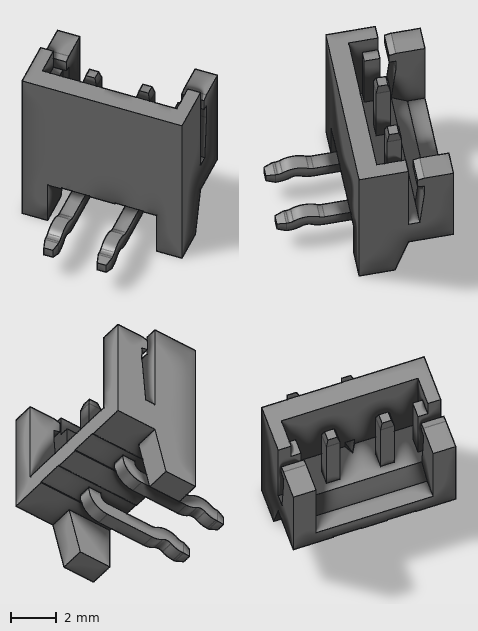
import cadquery as cq
import math


WIDTH = 7.5
DEPTH = 4.2
HEIGHT = 8.2
SHROUD_DEPTH = 2.2
BASE_BOTTOM = 2.2
FLOOR_TOP = 3.7

LEG_WIDTH = 1.2
LEG_FOOT_DEPTH = 1.6

SIDE_WALL = 0.6
FRONT_WALL = 0.9

ARM_WIDTH = 1.05
ARM_TOP = 7.4
ARM_FRONT = 2.9
ARM_ROOT_FRONT = 2.7
ARM_TAPER_TOP = 6.0
HOOK_FRONT = 2.6
HOOK_BOTTOM = 6.7
HOOK_BEVEL_ANGLE = math.radians(15)
HOOK_BEVEL = (ARM_FRONT - HOOK_FRONT) * math.tan(HOOK_BEVEL_ANGLE)

LEDGE_FRONT = 3.42
LEDGE_DROP = 0.52
LEDGE_TOP = FLOOR_TOP - LEDGE_DROP

RIB_FRONT = 1.5
RIB_TOP = 7.2

MARKER_WIDTH = 0.45
MARKER_LENGTH = 0.4
MARKER_HEIGHT = MARKER_LENGTH

PIN_PITCH = 2.5
PIN_POSITIONS = (-PIN_PITCH / 2, PIN_PITCH / 2)
PIN_SIZE = 0.64
PIN_Y = 2.0
PIN_Z = 1.5
PIN_TOP = 7.7
PIN_END = -3.2
TIP_LENGTH = 0.4
TIP_INSET = 0.105
BEND_OUTER = 1.0
BEND_INNER = BEND_OUTER - PIN_SIZE

HUMP_Y = -1.9
HUMP_HALF_LENGTH = 0.8
HUMP_INNER = 0.38
HUMP_OUTER = HUMP_INNER + PIN_SIZE

RELIEF_WIDTH = 1.3
RELIEF_HEIGHT = 0.05


def box(x_range, y_range, z_range):
    """A box given by its limits along X, Y and Z."""
    sizes = [high - low for low, high in (x_range, y_range, z_range)]
    corner = (x_range[0], y_range[0], z_range[0])
    return cq.Workplane("XY").box(*sizes, centered=False).translate(corner)


def centred_prism(yz_profile, width):
    """A closed YZ profile extruded equally to both sides of its plane."""
    return yz_profile.extrude(width / 2, both=True)


def make_side_profile():
    """The side outline of the housing: leg, shroud, slot and hooked latch arm."""
    return (
        cq.Workplane("YZ")
        .moveTo(0, 0)
        .lineTo(0, HEIGHT)
        .lineTo(SHROUD_DEPTH, HEIGHT)
        .lineTo(SHROUD_DEPTH, FLOOR_TOP)
        .lineTo(ARM_ROOT_FRONT, FLOOR_TOP)
        .lineTo(ARM_FRONT, ARM_TAPER_TOP)
        .lineTo(ARM_FRONT, HOOK_BOTTOM)
        .lineTo(HOOK_FRONT, HOOK_BOTTOM + HOOK_BEVEL)
        .lineTo(HOOK_FRONT, ARM_TOP - HOOK_BEVEL)
        .lineTo(ARM_FRONT, ARM_TOP)
        .lineTo(DEPTH, ARM_TOP)
        .lineTo(DEPTH, BASE_BOTTOM)
        .lineTo(SHROUD_DEPTH, BASE_BOTTOM)
        .lineTo(LEG_FOOT_DEPTH, 0)
        .close()
    )


def make_back_opening():
    """The space between the latch arms, above the slope and the ledge."""
    profile = (
        cq.Workplane("YZ")
        .moveTo(SHROUD_DEPTH, HEIGHT)
        .lineTo(SHROUD_DEPTH, FLOOR_TOP)
        .lineTo(ARM_ROOT_FRONT, FLOOR_TOP)
        .lineTo(LEDGE_FRONT, LEDGE_TOP)
        .lineTo(DEPTH, LEDGE_TOP)
        .lineTo(DEPTH, HEIGHT)
        .close()
    )
    return centred_prism(profile, WIDTH - 2 * ARM_WIDTH)


def make_rib(side):
    """A rib in a back corner of the cavity, on the side given by the sign."""
    wall = WIDTH / 2 - SIDE_WALL
    x_range = sorted((side * wall, side * (WIDTH / 2 - ARM_WIDTH)))
    return box(x_range, (RIB_FRONT, SHROUD_DEPTH), (FLOOR_TOP, RIB_TOP))


def make_marker():
    """A ramp, triangular in plan, falling from the front wall to the floor."""
    ramp = centred_prism(
        cq.Workplane("YZ")
        .moveTo(FRONT_WALL, FLOOR_TOP)
        .lineTo(FRONT_WALL + MARKER_LENGTH, FLOOR_TOP)
        .lineTo(FRONT_WALL, FLOOR_TOP + MARKER_HEIGHT)
        .close(),
        MARKER_WIDTH,
    )
    plan = (
        cq.Workplane("XY", origin=(0, FRONT_WALL, FLOOR_TOP))
        .moveTo(-MARKER_WIDTH / 2, 0)
        .lineTo(MARKER_WIDTH / 2, 0)
        .lineTo(0, MARKER_LENGTH)
        .close()
        .extrude(MARKER_HEIGHT)
    )
    return ramp.intersect(plan)


def make_pin_relief(x):
    """The shallow groove across the underside of the base at one pin."""
    x_range = (x - RELIEF_WIDTH / 2, x + RELIEF_WIDTH / 2)
    return box(x_range, (0, DEPTH), (BASE_BOTTOM, BASE_BOTTOM + RELIEF_HEIGHT))


def make_tip(plane):
    """The tapered end of a pin, standing on the given workplane."""
    end_size = PIN_SIZE - 2 * TIP_INSET
    return (
        plane.rect(PIN_SIZE, PIN_SIZE)
        .workplane(offset=TIP_LENGTH)
        .rect(end_size, end_size)
        .loft(ruled=True)
    )


def make_pin(x):
    """A square pin: upright contact, bend, solder tail with a hump, tapered ends."""
    half = PIN_SIZE / 2
    front = PIN_Y - half
    back = PIN_Y + half
    under = PIN_Z - half
    over = PIN_Z + half
    contact_end = PIN_TOP - TIP_LENGTH
    tail_end = PIN_END + TIP_LENGTH

    bend_y = back - BEND_OUTER
    bend_z = under + BEND_OUTER
    outer_middle = BEND_OUTER * math.sqrt(0.5)
    inner_middle = BEND_INNER * math.sqrt(0.5)

    hump_start = HUMP_Y + HUMP_HALF_LENGTH
    hump_end = HUMP_Y - HUMP_HALF_LENGTH
    hump_angle = math.asin(HUMP_HALF_LENGTH / (HUMP_OUTER + HUMP_INNER))
    foot_z = over + HUMP_INNER
    crest_z = foot_z - (HUMP_OUTER + HUMP_INNER) * math.cos(hump_angle)

    def foot_point(foot_y, radius, angle):
        """A point on a foot arc, turned from straight down towards the crest."""
        towards_crest = math.copysign(1, HUMP_Y - foot_y)
        return (foot_y + towards_crest * radius * math.sin(angle), foot_z - radius * math.cos(angle))

    profile = (
        cq.Workplane("YZ", origin=(x, 0, 0))
        .moveTo(back, contact_end)
        .lineTo(back, bend_z)
        .threePointArc((bend_y + outer_middle, bend_z - outer_middle), (bend_y, under))
        .lineTo(hump_start, under)
        .threePointArc(
            foot_point(hump_start, HUMP_OUTER, hump_angle / 2),
            foot_point(hump_start, HUMP_OUTER, hump_angle),
        )
        .threePointArc((HUMP_Y, crest_z + HUMP_INNER), foot_point(hump_end, HUMP_OUTER, hump_angle))
        .threePointArc(foot_point(hump_end, HUMP_OUTER, hump_angle / 2), (hump_end, under))
        .lineTo(tail_end, under)
        .lineTo(tail_end, over)
        .lineTo(hump_end, over)
        .threePointArc(
            foot_point(hump_end, HUMP_INNER, hump_angle / 2),
            foot_point(hump_end, HUMP_INNER, hump_angle),
        )
        .threePointArc((HUMP_Y, crest_z + HUMP_OUTER), foot_point(hump_start, HUMP_INNER, hump_angle))
        .threePointArc(foot_point(hump_start, HUMP_INNER, hump_angle / 2), (hump_start, over))
        .lineTo(bend_y, over)
        .threePointArc((bend_y + inner_middle, bend_z - inner_middle), (front, bend_z))
        .lineTo(front, contact_end)
        .close()
    )
    shank = centred_prism(profile, PIN_SIZE)
    contact_tip = make_tip(cq.Workplane("XY", origin=(x, PIN_Y, contact_end)))
    tail_tip = make_tip(cq.Workplane("XZ", origin=(x, tail_end, PIN_Z)))
    return shank.union(contact_tip).union(tail_tip)


def make_housing():
    """The housing, with a fitting hole for each pin."""
    cavity_half = WIDTH / 2 - SIDE_WALL
    leg_inside = WIDTH / 2 - LEG_WIDTH
    housing = (
        centred_prism(make_side_profile(), WIDTH)
        .cut(box((-leg_inside, leg_inside), (0, DEPTH), (0, BASE_BOTTOM)))
        .cut(box((-cavity_half, cavity_half), (FRONT_WALL, SHROUD_DEPTH), (FLOOR_TOP, HEIGHT)))
        .cut(make_back_opening())
        .union(make_marker())
    )
    for side in (-1, 1):
        housing = housing.union(make_rib(side))
    for x in PIN_POSITIONS:
        housing = housing.cut(make_pin_relief(x))
        housing = housing.cut(make_pin(x))
    return housing


housing = make_housing()
pins = [make_pin(x) for x in PIN_POSITIONS]

result = cq.Compound.makeCompound([housing.val(), *[pin.val() for pin in pins]])